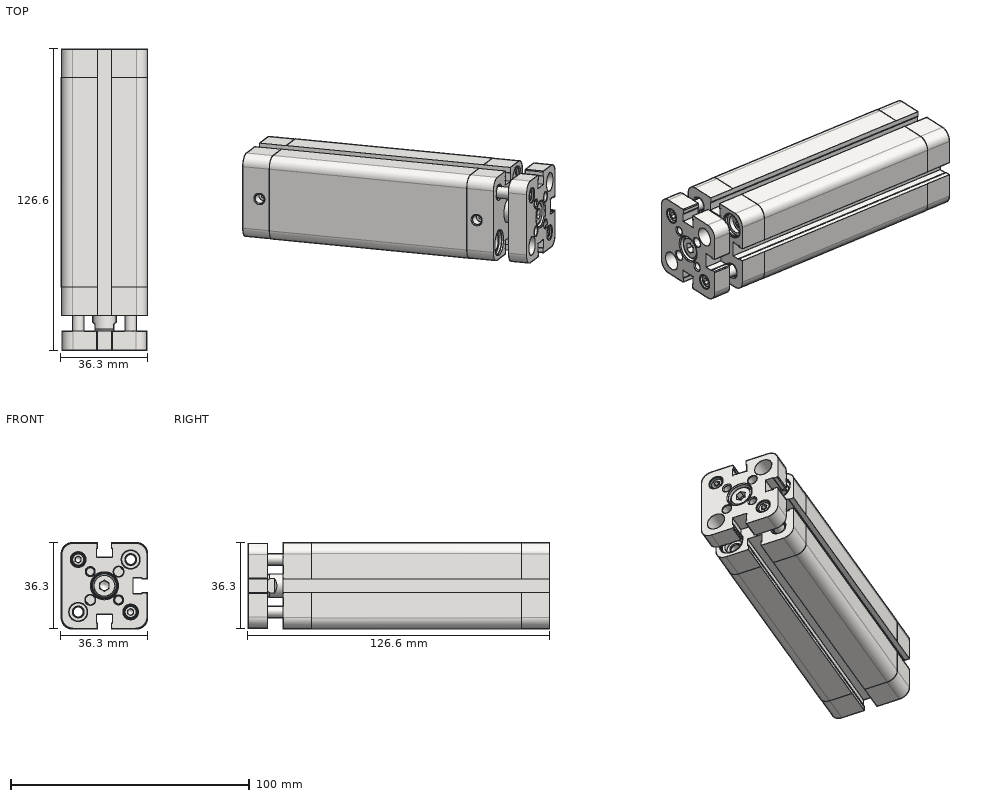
import cadquery as cq
import math


total_length = 126.6
plate_thickness = 8.1
rod_gap = 6.6
cap_length = 11.9
plate_front = -total_length / 2
plate_back = plate_front + plate_thickness
body_front = plate_back + rod_gap
body_back = total_length / 2

cap_side = 36.2
tube_side = 36.3
plate_side = 35.7
corner_radius = 4.7
slot_width = 6.6
slot_floor = 12.0
lip_inner = 15.7
slot_mouth = 5.8
plate_mouth_bevel = 0.4

corner_offset = 11.0
inner_offset = 6.0

rod_diameter = 10.0
rod_flats = 8.0
flat_length = 3.9
rod_chamfer_length = 0.9
rod_chamfer_depth = 0.4
pin_diameter = 5.0
pin_recess_diameter = 6.0
pin_recess_mouth_diameter = 7.0
pin_recess_depth = 1.0

access_diameter = 8.0
mount_diameter = 4.2
mount_mouth_diameter = 5.0
mount_steps = [(10.9, 0.8), (10.0, 1.8), (7.6, 3.8)]

dowel_diameter = 4.2
dowel_mouth_diameter = 4.5
thread_diameter = 3.3
thread_mouth_diameter = 4.2

rod_screw = {
    "bore": 10.9, "bore_mouth": 11.8, "head": 10.0, "recess": 1.0, "head_height": 4.0,
    "head_bevel": 0.6, "key": 4.0, "key_depth": 2.8,
}
pin_screw = {
    "bore": 6.0, "bore_mouth": 6.6, "head": 5.5, "recess": 0.8, "head_height": 3.3,
    "head_bevel": 0.4, "key": 2.5, "key_depth": 2.0,
}

port_diameter = 4.0
port_mouth_diameter = 5.0
port_depth = 5.1
port_drill_diameter = 1.8
port_drill_depth = 8.9
port_offset = 7.5


def plane_at(x, y, z):
    """Workplane facing +Y at the given point, with its local x axis along X."""
    return cq.Workplane(cq.Plane(origin=(x, y, z), xDir=(1, 0, 0), normal=(0, 1, 0)))


def cylinder(x, y, z, diameter, length):
    return plane_at(x, y, z).circle(diameter / 2).extrude(length)


def bevelled_hole(x, y, z, diameter, mouth_diameter, depth):
    """Hole cutter running toward +Y, with a 45 degree bevel at its mouth."""
    bevel = (mouth_diameter - diameter) / 2
    mouth = plane_at(x, y, z).circle(mouth_diameter / 2).extrude(bevel, taper=45)
    return cylinder(x, y, z, diameter, depth).union(mouth)


def rounded_block(y, length, side):
    return plane_at(0, y, 0).rect(side, side).extrude(length).edges("|Y").fillet(corner_radius)


def cut_slots(block, side, mouth_bevel=0):
    """Cut lipped slots along the top, bottom and +X sides of a block."""
    half_floor = slot_width / 2
    half_mouth = slot_mouth / 2
    right_side = [
        (half_floor, slot_floor),
        (half_floor, lip_inner),
        (half_mouth, lip_inner),
    ]
    if mouth_bevel:
        right_side += [(half_mouth, side / 2 - mouth_bevel), (half_mouth + mouth_bevel, side / 2)]
    right_side += [(half_mouth + mouth_bevel, side)]
    left_side = [(-x, z) for x, z in reversed(right_side)]
    profile = cq.Workplane("XZ").polyline(right_side + left_side).close()
    top_slot = profile.extrude(total_length, both=True)
    for turn in (0, 90, 180):
        block = block.cut(top_slot.rotate((0, 0, 0), (0, 1, 0), turn), clean=False)
    return block


def port(y):
    """Cutter for a bevelled air port drilled inward from the -X side."""
    bevel = (port_mouth_diameter - port_diameter) / 2
    face = cq.Workplane("YZ", origin=(-cap_side / 2, y, 0))
    mouth = face.circle(port_mouth_diameter / 2).extrude(bevel, taper=45)
    bore = face.circle(port_diameter / 2).extrude(port_depth)
    drill = face.circle(port_drill_diameter / 2).extrude(port_drill_depth)
    return mouth.union(bore).union(drill)


def mount_hole(x, z):
    """Cutter for a stepped mounting hole through the whole body."""
    hole = cylinder(x, body_front, z, mount_diameter, body_back - body_front)
    for diameter, depth in mount_steps:
        hole = hole.union(cylinder(x, body_front, z, diameter, depth))
    floor_y = body_front + mount_steps[-1][1]
    return hole.union(bevelled_hole(x, floor_y, z, mount_diameter, mount_mouth_diameter, cap_length))


def add_screw(block, x, z, screw):
    """Sink a bevelled counterbore into the plate and stand a socket head on its floor."""
    top = plate_front + screw["recess"]
    floor_depth = screw["recess"] + screw["head_height"]
    counterbore = bevelled_hole(x, plate_front, z, screw["bore"], screw["bore_mouth"], floor_depth)
    head = cylinder(x, top, z, screw["head"], screw["head_height"])
    head = head.faces("<Y").chamfer(screw["head_bevel"])
    across_corners = screw["key"] / math.cos(math.pi / 6)
    socket_plane = cq.Plane(origin=(x, top, z), xDir=(0, 0, 1), normal=(0, 1, 0))
    socket = cq.Workplane(socket_plane).polygon(6, across_corners).extrude(screw["key_depth"])
    tip_start = cq.Vector(x, top + screw["key_depth"], z)
    tip = cq.Solid.makeCone(screw["key"] / 2, 0, screw["key"] / 4, tip_start, cq.Vector(0, 1, 0))
    return block.cut(counterbore).union(head.cut(socket).cut(tip))


pin_places = [(-corner_offset, corner_offset), (corner_offset, -corner_offset)]
mount_places = [(corner_offset, corner_offset), (-corner_offset, -corner_offset)]
thread_places = [(-inner_offset, inner_offset), (inner_offset, -inner_offset)]
dowel_places = [(inner_offset, inner_offset), (-inner_offset, -inner_offset)]

tube_length = body_back - body_front - 2 * cap_length
body = rounded_block(body_front, cap_length, cap_side)
body = body.union(rounded_block(body_front + cap_length, tube_length, tube_side), clean=False)
body = body.union(rounded_block(body_back - cap_length, cap_length, cap_side), clean=False)
body = cut_slots(body, tube_side)
for y in (body_front + port_offset, body_back - port_offset):
    body = body.cut(port(y), clean=False)
for x, z in pin_places:
    recess = bevelled_hole(
        x, body_front, z, pin_recess_diameter, pin_recess_mouth_diameter, pin_recess_depth
    )
    body = body.cut(recess, clean=False)
for x, z in mount_places:
    body = body.cut(mount_hole(x, z), clean=False)

plate = rounded_block(plate_front, plate_thickness, plate_side)
plate = cut_slots(plate, plate_side, plate_mouth_bevel)
for x, z in mount_places:
    plate = plate.cut(cylinder(x, plate_front, z, access_diameter, plate_thickness))
for x, z in dowel_places:
    plate = plate.cut(
        bevelled_hole(x, plate_front, z, dowel_diameter, dowel_mouth_diameter, plate_thickness)
    )
for x, z in thread_places:
    plate = plate.cut(
        bevelled_hole(x, plate_front, z, thread_diameter, thread_mouth_diameter, plate_thickness)
    )
plate = add_screw(plate, 0, 0, rod_screw)
for x, z in pin_places:
    plate = add_screw(plate, x, z, pin_screw)

rod = cylinder(0, plate_back, 0, rod_diameter, rod_gap)
rod = rod.faces("<Y").chamfer(rod_chamfer_length, rod_chamfer_depth)
flat_rise = (rod_diameter - rod_flats) / 2
for side in (-1, 1):
    profile = [
        (side * rod_flats / 2, plate_back),
        (side * rod_flats / 2, plate_back + flat_length - flat_rise),
        (side * rod_diameter / 2, plate_back + flat_length),
        (side * rod_diameter, plate_back + flat_length),
        (side * rod_diameter, plate_back),
    ]
    flat = cq.Workplane("XY").polyline(profile).close().extrude(rod_diameter / 2, both=True)
    rod = rod.cut(flat)

result = body.union(plate, clean=False).union(rod, clean=False)
for x, z in pin_places:
    pin = cylinder(x, plate_back, z, pin_diameter, rod_gap + pin_recess_depth)
    result = result.union(pin, clean=False)